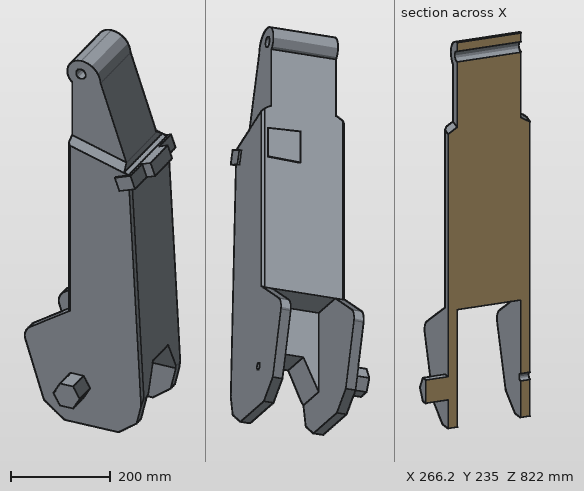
import cadquery as cq
import math

height = 822.0
overrun = 82.0

body_half_width = 90.5
inner_half_width = 69.0
neck_half_width = 71.0
edge_chamfer = 5.0

front_x = 95.0
body_bottom_z = 251.0
rear_bottom = (262.0, 89.0)
rear_top = (235.0, 594.5)
foot_outline = [(248.0, 30.0), (209.0, 0), (88.0, 0), (42.0, 35.0)]
nose_lower = (0, 168.0)
nose_middle = (2.0, 184.0)
nose_upper = (11.5, 196.0)
web_front_x = 181.0

eye_x = 115.0
eye_z = 792.0
eye_radius = height - eye_z
eye_hole_radius = 11.0
eye_rear = (159.0, 782.0)
eye_rear_middle = (143.0, 812.5)

shoulder_front_z = 647.0
shoulder_rear = (216.0, 613.0)
shoulder_step = (220.0, 600.0)
shoulder_drop = 11.5

pin_x = 116.0
pin_z = 86.0
pin_across_corners = 58.0
pin_end_y = -140.0
pin_hole_radius = 7.0

bar_tilt = 20.0
bar_corner = (202.0, 586.0)
bar_depth = 37.0
bar_height = 30.0
bar_half_width = 95.0
tongue_depth = 20.0
tongue_half_width = 40.0

pad_height = 3.0
pad_outline = [(79.0, 596.0), (8.0, 599.5), (8.0, 532.0), (79.0, 534.5)]

cutout_top_half_width = 35.0
cutout_top_z = 150.0
cutout_side_z = 80.0


def across(half_width):
    """Side-outline workplane whose positive extrusion runs from +Y to -Y."""
    return cq.Workplane("XZ", origin=(0, half_width, 0))


def box(x_range, y_range, z_range):
    corner = (x_range[0], y_range[0], z_range[0])
    size = [high - low for low, high in (x_range, y_range, z_range)]
    return cq.Workplane("XY").box(*size, centered=False).translate(corner)


def make_body():
    eye_front_z = eye_z - math.sqrt(eye_radius**2 - (eye_x - front_x) ** 2)
    body = (
        across(body_half_width)
        .moveTo(front_x, eye_front_z)
        .threePointArc((eye_x - eye_radius, eye_z), (eye_x, eye_z + eye_radius))
        .threePointArc(eye_rear_middle, eye_rear)
        .lineTo(*shoulder_rear)
        .lineTo(*shoulder_step)
        .lineTo(*rear_top)
        .lineTo(*rear_bottom)
        .polyline(foot_outline, includeCurrent=True)
        .lineTo(*nose_lower)
        .threePointArc(nose_middle, nose_upper)
        .lineTo(front_x, body_bottom_z)
        .close()
        .extrude(2 * body_half_width)
    )
    front_middle = (front_x, (body_bottom_z + shoulder_front_z) / 2)
    rear_middle = [(a + b) / 2 for a, b in zip(rear_top, rear_bottom)]
    for x, z in (front_middle, rear_middle):
        for y in (-body_half_width, body_half_width):
            edge = cq.selectors.NearestToPointSelector((x, y, z))
            body = body.edges(edge).chamfer(edge_chamfer)
    return body


def shoulder_cutter(side):
    """Remove one side of the neck, ending in a bevel along the sloping shoulder."""
    slope = cq.Vector(
        shoulder_rear[0] - front_x, 0, shoulder_rear[1] - shoulder_front_z
    ).normalized()
    start = cq.Vector(front_x, 0, shoulder_front_z) - slope * overrun
    plane = cq.Plane(origin=start.toTuple(), xDir=(0, side, 0), normal=slope.toTuple())
    up = 1 if plane.yDir.z > 0 else -1
    outer_y = body_half_width + overrun
    top = up * (height - shoulder_rear[1] + overrun)
    return (
        cq.Workplane(plane)
        .polyline(
            [
                (neck_half_width, 0),
                (body_half_width, -up * shoulder_drop),
                (outer_y, -up * shoulder_drop),
                (outer_y, top),
                (neck_half_width, top),
            ]
        )
        .close()
        .extrude(rear_bottom[0] + 2 * overrun)
    )


def clevis_cutter():
    """Space between the cheeks, in front of and below the web."""
    gap = (-inner_half_width, inner_half_width)
    front_gap = box((-overrun, web_front_x), gap, (-overrun, body_bottom_z))
    below_web = (
        cq.Workplane("YZ")
        .polyline(
            [
                (-inner_half_width, -overrun),
                (-inner_half_width, cutout_side_z),
                (-cutout_top_half_width, cutout_top_z),
                (cutout_top_half_width, cutout_top_z),
                (inner_half_width, cutout_side_z),
                (inner_half_width, -overrun),
            ]
        )
        .close()
        .extrude(rear_bottom[0] + overrun)
    )
    return front_gap.union(below_web)


def make_bar():
    bar = box((0, bar_depth), (-bar_half_width, bar_half_width), (-bar_height, 0))
    tongue = box(
        (0, bar_depth + tongue_depth),
        (-tongue_half_width, tongue_half_width),
        (-bar_height, 0),
    )
    tilted = bar.union(tongue).rotate((0, 0, 0), (0, 1, 0), -bar_tilt)
    return tilted.translate((bar_corner[0], 0, bar_corner[1]))


def make_pad():
    return (
        cq.Workplane("YZ", origin=(front_x - pad_height, 0, 0))
        .polyline(pad_outline)
        .close()
        .extrude(2 * pad_height)
    )


def make_pin():
    return (
        across(-inner_half_width)
        .center(pin_x, pin_z)
        .polygon(6, pin_across_corners)
        .extrude(-inner_half_width - pin_end_y)
    )


eye_hole = (
    across(body_half_width)
    .center(eye_x, eye_z)
    .circle(eye_hole_radius)
    .extrude(2 * body_half_width)
)
pin_hole = (
    across(body_half_width)
    .center(pin_x, pin_z)
    .circle(pin_hole_radius)
    .extrude(body_half_width - inner_half_width)
)

result = make_body()
for side in (-1, 1):
    result = result.cut(shoulder_cutter(side))
result = result.cut(clevis_cutter()).cut(eye_hole).cut(pin_hole)
result = result.union(make_bar()).union(make_pad()).union(make_pin())